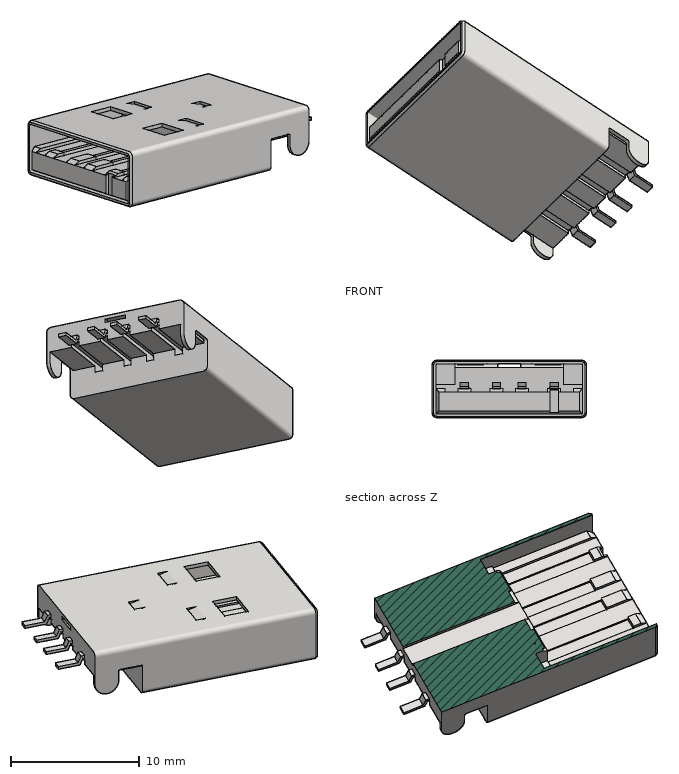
import cadquery as cq
import math


shell_width = 12.05
shell_height = 4.5
shell_length = 18.75
wall = 0.3
corner_radius = 0.4
lip_length = 0.2
lip_bevel = 0.12
half_width = shell_width / 2
half_height = shell_height / 2
cavity_half_width = half_width - wall
cavity_half_height = half_height - wall

leg_width = 2.0
leg_bottom = -1.55
leg_gap_start = 14.75
leg_gap_top = 0.4
leg_gap_fillet = 0.15
leg_start = shell_length - leg_width
leg_radius = leg_width / 2

latch_window_size = (2.5, 2.0)
latch_window_x = 2.98
latch_window_y = 6.15
side_dimple_size = (2.0, 0.8)
side_dimple_x = 3.02
side_dimple_y = 9.05
middle_dimple_size = (1.25, 0.88)
middle_dimple_y = 12.85
dimple_slope = 0.24

tongue_front = 0.0
tongue_top = -0.22
tongue_inset = 0.25
nose_length = 0.5
block_front = 8.7
block_step_top = 1.68
block_ramp_length = 0.4
block_slot_width = 1.76
shoulder_x = 4.22
shoulder_floor = 0.36
shoulder_depth = 1.0
rear_bottom = 0.15

pad_top = 0.03
pad_width = 1.0
inner_contact_x = 1.0
outer_contact_x = 3.5
contact_positions = [-outer_contact_x, -inner_contact_x, inner_contact_x, outer_contact_x]
outer_pad_length = 1.15
inner_pad_length = 2.25
edge_pad_inner_x = 5.0
recess_floor = -0.37
outer_contact_width = 0.67
inner_contact_width = 0.6
contact_slot_top = 0.5
key_groove_depth = 0.28

tail_thickness = 0.25
tail_end = 20.95
tail_high_bottom = 0.7
tail_low_bottom = 0.16
tail_straight = 0.14
tail_bend_length = 0.25
tail_embedded = 1.0
tail_bend_start = shell_length + tail_straight
tail_bend_end = tail_bend_start + tail_bend_length
tail_root = shell_length - tail_embedded


def box(x_range, y_range, z_range):
    """Axis-aligned box given by its limits."""
    limits = (x_range, y_range, z_range)
    size = [high - low for low, high in limits]
    corner = tuple(low for low, high in limits)
    return cq.Workplane("XY").box(*size, centered=False).translate(corner)


def centered(middle, width):
    """Limits of a span of the given width around its middle."""
    return (middle - width / 2, middle + width / 2)


def contact_span(x):
    """Limits along X of the contact at the given position."""
    width = outer_contact_width if abs(x) == outer_contact_x else inner_contact_width
    return centered(x, width)


def extrude_side(points, x_range):
    """Prism along X with a (Y, Z) outline."""
    start, end = x_range
    return cq.Workplane("YZ").workplane(offset=start).polyline(points).close().extrude(end - start)


def rounded_bar(width, height, radius, y_start, y_end):
    """Bar along Y with rounded long edges."""
    bar = box(centered(0, width), (y_start, y_end), centered(0, height))
    return bar.edges("|Y").fillet(radius)


def make_cavity():
    return rounded_bar(2 * cavity_half_width, 2 * cavity_half_height,
                       corner_radius - wall, 0, shell_length)


def make_leg_gap():
    """Cut, across the full width, that frees the legs from the rest of the side walls."""
    across = (-half_width, half_width)
    gap = box(across, (leg_gap_start, leg_start), (-half_height, leg_gap_top))
    gap = gap.faces(">Z").edges("|X").fillet(leg_gap_fillet)
    below_leg = box(across, (leg_start, shell_length), (-half_height, leg_bottom + leg_radius))
    round_end = (cq.Workplane("YZ").workplane(offset=-half_width)
                 .center(leg_start + leg_radius, leg_bottom + leg_radius)
                 .circle(leg_radius).extrude(shell_width))
    return gap.union(below_leg.cut(round_end))


def make_roof_wedge(x, y, size, top):
    """Wedge below the level top whose underside falls from the front edge to the rear edge."""
    width, length = size
    front = y - length / 2
    rear = y + length / 2
    outline = [(front, top), (rear, top), (rear, top - dimple_slope * length)]
    return extrude_side(outline, centered(x, width))


def make_shell():
    shell = rounded_bar(shell_width, shell_height, corner_radius, 0, shell_length)
    shell = shell.faces("<Y").chamfer(lip_bevel, lip_length)
    shell = shell.cut(make_cavity()).cut(make_leg_gap())
    window_width, window_length = latch_window_size
    for side in (-1, 1):
        shell = shell.cut(box(centered(side * latch_window_x, window_width),
                              centered(latch_window_y, window_length),
                              (cavity_half_height, half_height)))
        dimple_x = side * side_dimple_x
        dimple = make_roof_wedge(dimple_x, side_dimple_y, side_dimple_size, half_height)
        pushed_down = make_roof_wedge(dimple_x, side_dimple_y, side_dimple_size, cavity_half_height)
        shell = shell.cut(dimple).union(pushed_down)
    return shell.cut(make_roof_wedge(0, middle_dimple_y, middle_dimple_size, half_height))


def make_pad(x_range, y_end):
    """Raised pad with a ramp at the front of the tongue."""
    outline = [(tongue_front, tongue_top), (tongue_front + nose_length, pad_top),
               (y_end, pad_top), (y_end, tongue_top)]
    return extrude_side(outline, x_range)


def make_nose_mask():
    """Bar that narrows to the nose of the tongue at the sides and below."""
    bottom = -cavity_half_height
    nose_bottom = bottom + tongue_inset
    nose_half_width = cavity_half_width - tongue_inset
    root = tongue_front + nose_length
    nose = (cq.Workplane("XZ", origin=(0, tongue_front, 0))
            .polyline([(-nose_half_width, nose_bottom), (nose_half_width, nose_bottom),
                       (nose_half_width, pad_top), (-nose_half_width, pad_top)]).close()
            .workplane(offset=-nose_length)
            .polyline([(-cavity_half_width, bottom), (cavity_half_width, bottom),
                       (cavity_half_width, pad_top), (-cavity_half_width, pad_top)]).close()
            .loft(ruled=True))
    rest = box((-cavity_half_width, cavity_half_width), (root, shell_length),
               (bottom, cavity_half_height))
    return nose.union(rest)


def make_tongue():
    across = (-cavity_half_width, cavity_half_width)
    tongue = box(across, (tongue_front, leg_gap_start), (-cavity_half_height, tongue_top))
    for x in contact_positions:
        pad_length = outer_pad_length if abs(x) == outer_contact_x else inner_pad_length
        pad_end = tongue_front + pad_length
        pad_span = centered(x, pad_width)
        tongue = tongue.union(make_pad(pad_span, pad_end))
        tongue = tongue.cut(box(pad_span, (pad_end, block_front), (recess_floor, tongue_top)))
    tongue = tongue.union(make_pad((-cavity_half_width, -edge_pad_inner_x), block_front))
    tongue = tongue.union(make_pad((edge_pad_inner_x, cavity_half_width), block_front))
    key_groove = box(contact_span(outer_contact_x),
                     (tongue_front, tongue_front + key_groove_depth),
                     (-cavity_half_height, pad_top))
    return tongue.cut(key_groove).intersect(make_nose_mask())


def make_block():
    ramp_end = block_front + block_ramp_length
    outline = [(block_front, tongue_top), (block_front, block_step_top),
               (ramp_end, cavity_half_height), (shell_length, cavity_half_height),
               (shell_length, rear_bottom), (leg_gap_start, rear_bottom),
               (leg_gap_start, tongue_top)]
    block = extrude_side(outline, (-cavity_half_width, cavity_half_width))
    set_back = (block_front, block_front + shoulder_depth)
    shoulder_height = (shoulder_floor, cavity_half_height)
    for side in (-1, 1):
        x_range = sorted((side * shoulder_x, side * cavity_half_width))
        block = block.cut(box(x_range, set_back, shoulder_height))
    return block.cut(box(centered(0, block_slot_width), (block_front, shell_length),
                         (block_step_top, cavity_half_height)))


def make_insulator():
    insulator = make_tongue().union(make_block())
    for x in contact_positions:
        insulator = insulator.cut(box(contact_span(x), (block_front, shell_length),
                                      (recess_floor, contact_slot_top)))
    return insulator.intersect(make_cavity())


def make_tail(x):
    """Contact tail of constant thickness that steps down behind the shell."""
    lower_edge = [(tail_root, tail_high_bottom), (tail_bend_start, tail_high_bottom),
                  (tail_bend_end, tail_low_bottom), (tail_end, tail_low_bottom)]
    bend_angle = math.atan2(tail_high_bottom - tail_low_bottom, tail_bend_end - tail_bend_start)
    bend_shift = tail_thickness * math.tan(bend_angle / 2)
    upper_edge = [(tail_end, tail_low_bottom + tail_thickness),
                  (tail_bend_end + bend_shift, tail_low_bottom + tail_thickness),
                  (tail_bend_start + bend_shift, tail_high_bottom + tail_thickness),
                  (tail_root, tail_high_bottom + tail_thickness)]
    return extrude_side(lower_edge + upper_edge, contact_span(x))


result = make_shell().union(make_insulator())
for contact_x in contact_positions:
    result = result.union(make_tail(contact_x))